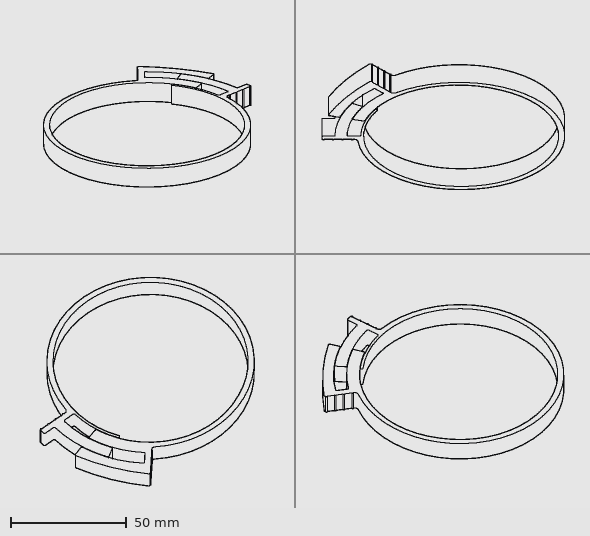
import cadquery as cq
import math


HEIGHT = 9.0
RING_OUTER = 44.9
RING_THICKNESS = 2.7
RING_INNER = RING_OUTER - RING_THICKNESS

TOP_ANGLE = 90.0
JAW_GAP = 0.2
TONGUE_OUTER = 43.4
LOWER_ARM_INNER = TONGUE_OUTER + JAW_GAP
LOWER_ARM_OUTER = 49.1
MIDDLE_ARM_INNER = LOWER_ARM_OUTER + JAW_GAP
MIDDLE_ARM_OUTER = 54.6
UPPER_ARM_INNER = MIDDLE_ARM_OUTER + JAW_GAP
WALL_TOP = 60.3
WALL_HALF_ANGLE = 23.4
ARM_OVERLAP_ANGLE = 6.8
TONGUE_OVERLAP_ANGLE = 7.9
WALL_THICKNESS = 2.85

CAP_RADIUS = 95.6
CAP_CENTER_X = 5.1
CAP_PEAK_Y = 59.79
CAP_CENTER_Y = CAP_PEAK_Y - CAP_RADIUS

SWELL_START_ANGLE = 180.0
SWELL_MIDDLE_ANGLE = 139.0
SWELL_MIDDLE_OUTER = 45.45
SWELL_END_OUTER = 46.2
SWELL_CENTER_Y = (LOWER_ARM_INNER**2 - RING_INNER**2) / (2 * LOWER_ARM_INNER)
SWELL_INNER_RADIUS = LOWER_ARM_INNER - SWELL_CENTER_Y

RIB_RADIUS = 0.35
RIB_COUNT = 4
RIB_OUTERMOST = 59.6
LEFT_RIB_INNERMOST = 48.1
RIGHT_RIB_INNERMOST = 47.2

BASE_FILLET = 1.5
CORNER_FILLET = 0.7
ARM_TIP_FILLET = 0.5
LEFT_WINDOW_FILLET = 0.3

LEFT = 1
RIGHT = -1


def polar(radius, angle):
    """Point at a radius and angle about the ring axis."""
    a = math.radians(angle)
    return (radius * math.cos(a), radius * math.sin(a))


def sector(inner, outer, start, end):
    """Concentric band between two radii and two angles."""
    middle = (start + end) / 2
    return (
        cq.Workplane("XY")
        .moveTo(*polar(inner, start))
        .threePointArc(polar(inner, middle), polar(inner, end))
        .lineTo(*polar(outer, end))
        .threePointArc(polar(outer, middle), polar(outer, start))
        .close()
        .extrude(HEIGHT)
    )


def wall_angle(side):
    """Direction of the inner face of a wall."""
    return TOP_ANGLE + side * WALL_HALF_ANGLE


def wall_point(side, radius, offset=WALL_THICKNESS):
    """Point at a radius on the line parallel to a wall's inner face."""
    return polar(radius, wall_angle(side) + side * math.degrees(math.asin(offset / radius)))


def wall(side, inner, top):
    """Straight wall of constant thickness with an arc-shaped outer end."""
    return (
        cq.Workplane("XY")
        .moveTo(*wall_point(side, inner, 0))
        .lineTo(*wall_point(side, top, 0))
        .threePointArc(wall_point(side, top, WALL_THICKNESS / 2), wall_point(side, top))
        .lineTo(*wall_point(side, inner))
        .close()
        .extrude(HEIGHT)
    )


def swelling_quarter():
    """Left part of the ring, drifting outward toward the jaw."""
    mid_x, mid_y = polar(SWELL_INNER_RADIUS, (SWELL_START_ANGLE + TOP_ANGLE) / 2)
    return (
        cq.Workplane("XY")
        .moveTo(*polar(RING_INNER, SWELL_START_ANGLE))
        .threePointArc((mid_x, mid_y + SWELL_CENTER_Y), polar(LOWER_ARM_INNER, TOP_ANGLE))
        .lineTo(*polar(SWELL_END_OUTER, TOP_ANGLE))
        .lineTo(*polar(SWELL_END_OUTER, wall_angle(LEFT)))
        .threePointArc(
            polar(SWELL_MIDDLE_OUTER, SWELL_MIDDLE_ANGLE),
            polar(RING_OUTER, SWELL_START_ANGLE),
        )
        .close()
        .extrude(HEIGHT)
    )


def round_corner(body, point, radius):
    """Fillet the upright edge nearest to a point in the XY plane."""
    edge = cq.selectors.NearestToPointSelector((*point, HEIGHT / 2))
    return body.edges("|Z").edges(edge).fillet(radius)


def left_jaw():
    """Two arms joined by the left wall, on the swelling quarter."""
    arm_end = TOP_ANGLE - ARM_OVERLAP_ANGLE
    blank_top = WALL_TOP + CORNER_FILLET
    lower = sector(LOWER_ARM_INNER, LOWER_ARM_OUTER, arm_end, wall_angle(LEFT))
    upper = sector(UPPER_ARM_INNER, blank_top, arm_end, wall_angle(LEFT))
    body = wall(LEFT, SWELL_END_OUTER - BASE_FILLET, blank_top)
    body = body.union(lower).union(upper).union(swelling_quarter())
    cap = cq.Workplane("XY").center(CAP_CENTER_X, CAP_CENTER_Y).circle(CAP_RADIUS).extrude(HEIGHT)
    body = body.intersect(cap).clean()

    body = round_corner(body, wall_point(LEFT, SWELL_END_OUTER), BASE_FILLET)
    body = round_corner(body, wall_point(LEFT, WALL_TOP), CORNER_FILLET)
    body = round_corner(body, polar(WALL_TOP, arm_end), CORNER_FILLET)
    body = round_corner(body, polar(LOWER_ARM_OUTER, arm_end), ARM_TIP_FILLET)
    for radius in (LOWER_ARM_OUTER, UPPER_ARM_INNER):
        body = round_corner(body, polar(radius, wall_angle(LEFT)), LEFT_WINDOW_FILLET)
    return body


def right_jaw():
    """Middle arm and thin tongue joined by the right wall, on the plain ring."""
    arm_end = TOP_ANGLE + ARM_OVERLAP_ANGLE
    tongue_end = TOP_ANGLE + TONGUE_OVERLAP_ANGLE
    ring = sector(RING_INNER, RING_OUTER, SWELL_START_ANGLE - 360, tongue_end)
    tongue_relief = sector(TONGUE_OUTER, RING_OUTER, wall_angle(RIGHT), tongue_end)
    arm = sector(MIDDLE_ARM_INNER, MIDDLE_ARM_OUTER, wall_angle(RIGHT), arm_end)
    body = wall(RIGHT, RING_OUTER - BASE_FILLET, WALL_TOP)
    body = body.union(ring.cut(tongue_relief)).union(arm).clean()

    body = round_corner(body, wall_point(RIGHT, RING_OUTER), BASE_FILLET)
    body = round_corner(body, polar(WALL_TOP, wall_angle(RIGHT)), CORNER_FILLET)
    body = round_corner(body, polar(MIDDLE_ARM_OUTER, wall_angle(RIGHT)), ARM_TIP_FILLET)
    for radius in (TONGUE_OUTER, MIDDLE_ARM_INNER):
        body = round_corner(body, polar(radius, wall_angle(RIGHT)), CORNER_FILLET)
    body = round_corner(body, polar(MIDDLE_ARM_INNER, arm_end), ARM_TIP_FILLET)
    body = round_corner(body, polar(RING_INNER, tongue_end), ARM_TIP_FILLET)
    return body


def grip_ribs(side, innermost):
    """Row of evenly spaced small round ribs along the outer face of a wall."""
    pitch = (RIB_OUTERMOST - innermost) / (RIB_COUNT - 1)
    centers = [wall_point(side, innermost + i * pitch) for i in range(RIB_COUNT)]
    return cq.Workplane("XY").pushPoints(centers).circle(RIB_RADIUS).extrude(HEIGHT)


left_end = left_jaw().union(grip_ribs(LEFT, LEFT_RIB_INNERMOST))
right_end = right_jaw().union(grip_ribs(RIGHT, RIGHT_RIB_INNERMOST))
result = left_end.union(right_end)